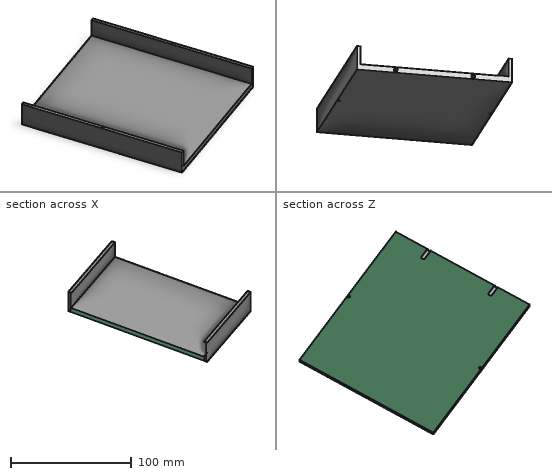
import cadquery as cq

LENGTH = 149.09
WIDTH = 132.56
HEIGHT = 21.0

FLOOR_THICKNESS = 5.0
WALL_THICKNESS = 3.0

END_HOLE_DIAMETER = 3.0
END_HOLE_DEPTH = 10.0
END_HOLE_OFFSET = WIDTH / 4
END_HOLE_HEIGHT = FLOOR_THICKNESS / 2

WALL_HOLE_DIAMETER = 1.57
WALL_HOLE_OFFSET = (WIDTH - WALL_THICKNESS) / 2


def make_channel():
    """U-shaped tray: a floor with a wall along each long side, open at both ends."""
    block = cq.Workplane("XY").box(LENGTH, WIDTH, HEIGHT, centered=(True, True, False))
    cavity = (
        cq.Workplane("XY")
        .workplane(offset=FLOOR_THICKNESS)
        .box(
            LENGTH,
            WIDTH - 2 * WALL_THICKNESS,
            HEIGHT - FLOOR_THICKNESS,
            centered=(True, True, False),
        )
    )
    return block.cut(cavity)


def make_end_holes():
    """Pair of blind bores running in +X from the -X end face of the floor."""
    return (
        cq.Workplane("YZ", origin=(-LENGTH / 2, 0, END_HOLE_HEIGHT))
        .pushPoints([(-END_HOLE_OFFSET, 0), (END_HOLE_OFFSET, 0)])
        .circle(END_HOLE_DIAMETER / 2)
        .extrude(END_HOLE_DEPTH)
    )


def make_wall_holes():
    """Pair of vertical bores through the full height of the side walls."""
    return (
        cq.Workplane("XY")
        .pushPoints([(0, -WALL_HOLE_OFFSET), (0, WALL_HOLE_OFFSET)])
        .circle(WALL_HOLE_DIAMETER / 2)
        .extrude(HEIGHT)
    )


result = make_channel().cut(make_end_holes()).cut(make_wall_holes())